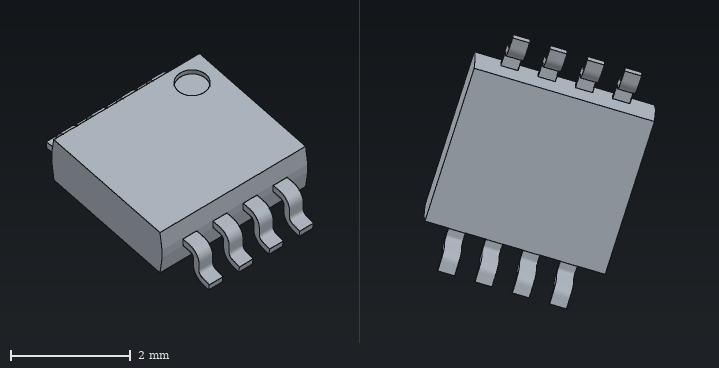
import cadquery as cq
import math

span_x = 4.29
total_height = 1.1

housing_width = 2.9
housing_length = 3.15
housing_height = 0.975
housing_face_width = 2.79
band_height = 0.18
band_drop = 0.48

mark_diameter = 0.6
mark_depth = 0.1
mark_x = -0.945
mark_y = 1.042

leads_per_side = 4
lead_row_length = 1.95
lead_pitch = lead_row_length / (leads_per_side - 1)
lead_width = 0.3
lead_thickness = 0.15
inner_radius = 0.1
shank_to_tip = 0.27
foot_angle = 8.0

housing_top = total_height
housing_bottom = housing_top - housing_height
band_middle = housing_top - band_drop
lead_top = band_middle + lead_thickness / 2
lead_underside = lead_top - lead_thickness


def make_housing():
    """Six-point profile with a vertical band, extruded along Y, with the mark recess cut in its top."""
    half_band = housing_width / 2
    half_face = housing_face_width / 2
    band_bottom = band_middle - band_height / 2
    band_top = band_middle + band_height / 2

    blank = (
        cq.Workplane("XZ")
        .polyline([
            (-half_face, housing_bottom),
            (half_face, housing_bottom),
            (half_band, band_bottom),
            (half_band, band_top),
            (half_face, housing_top),
            (-half_face, housing_top),
            (-half_band, band_top),
            (-half_band, band_bottom),
        ])
        .close()
        .extrude(housing_length / 2, both=True)
    )
    mark = (
        cq.Workplane("XY", origin=(mark_x, mark_y, housing_top - mark_depth))
        .circle(mark_diameter / 2)
        .extrude(mark_depth)
    )
    return blank.cut(mark)


def arc_point(center, radius, angle):
    """Point on a circle in the XZ plane, angle in degrees from +X toward +Z."""
    turn = math.radians(angle)
    return (center[0] + radius * math.cos(turn), center[1] + radius * math.sin(turn))


def make_lead():
    """Gull-wing lead on the -X side, centred on Y = 0, ending flat against the housing band."""
    outer_radius = inner_radius + lead_thickness
    wall_x = -housing_width / 2
    tip_x = -span_x / 2
    shank_outer_x = tip_x + shank_to_tip

    foot_normal = 270 + foot_angle
    foot_bend_middle = (foot_normal + 360) / 2
    slope = math.radians(foot_angle)
    foot_bend_x = shank_outer_x - inner_radius
    foot_length = (foot_bend_x + inner_radius * math.sin(slope) - tip_x) / math.cos(slope)
    foot_bend_z = outer_radius * math.cos(slope) + foot_length * math.sin(slope)
    foot_bend = (foot_bend_x, foot_bend_z)

    shoulder_bend = (shank_outer_x + outer_radius, lead_top - outer_radius)
    shoulder_middle = 135

    foot_top_start = arc_point(foot_bend, inner_radius, foot_normal)
    foot_under_start = arc_point(foot_bend, outer_radius, foot_normal)
    tip_upper = arc_point(foot_top_start, foot_length, 180 + foot_angle)
    tip_lower = arc_point(foot_under_start, foot_length, 180 + foot_angle)

    return (
        cq.Workplane("XZ")
        .moveTo(wall_x, lead_top)
        .lineTo(*arc_point(shoulder_bend, outer_radius, 90))
        .threePointArc(
            arc_point(shoulder_bend, outer_radius, shoulder_middle),
            arc_point(shoulder_bend, outer_radius, 180),
        )
        .lineTo(*arc_point(foot_bend, inner_radius, 360))
        .threePointArc(arc_point(foot_bend, inner_radius, foot_bend_middle), foot_top_start)
        .lineTo(*tip_upper)
        .lineTo(*tip_lower)
        .lineTo(*foot_under_start)
        .threePointArc(
            arc_point(foot_bend, outer_radius, foot_bend_middle),
            arc_point(foot_bend, outer_radius, 360),
        )
        .lineTo(*arc_point(shoulder_bend, inner_radius, 180))
        .threePointArc(
            arc_point(shoulder_bend, inner_radius, shoulder_middle),
            arc_point(shoulder_bend, inner_radius, 90),
        )
        .lineTo(wall_x, lead_underside)
        .close()
        .extrude(lead_width / 2, both=True)
    )


def make_leads():
    """A row of leads along each X side, the +X row being the mirror image of the -X row."""
    left_lead = make_lead()
    right_lead = left_lead.mirror("YZ")
    leads = []
    for index in range(leads_per_side):
        lead_y = index * lead_pitch - lead_row_length / 2
        for lead in (left_lead, right_lead):
            leads.append(lead.translate((0, lead_y, 0)).val())
    return leads


housing = make_housing()
leads = make_leads()

result = cq.Compound.makeCompound([housing.val(), *leads])